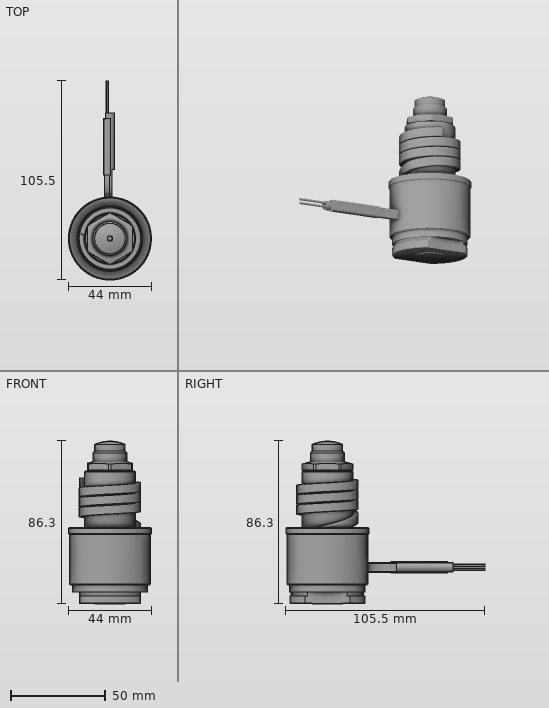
import cadquery as cq
import math

FOOT_RADIUS = 8.0
FOOT_HEIGHT = 0.3
BASE_RADIUS = 20.0
BASE_TOP_Z = 4.3
BASE_CHAMFER = 0.3
NECK_RADIUS = 19.2
COLLAR_BOTTOM_Z = 6.3
WRENCH_FLATS_WIDTH = 32.2
BODY_RADIUS = 21.5
BODY_BOTTOM_Z = 10.1
BODY_CHAMFER = 0.6
FLANGE_RADIUS = 22.0
FLANGE_BOTTOM_Z = 36.9
FLANGE_TOP_Z = 40.5
FLANGE_CHAMFER = 0.5

BORE_RADIUS = 17.0
BORE_CHAMFER = 0.4
BORE_FLOOR_Z = 30.0

SPINDLE_RADIUS = 13.5
SPINDLE_TOP_Z = 70.4
SPINDLE_CHAMFER = 0.5

NUT_SIDES = 6
NUT_FLATS_WIDTH = 24.0
NUT_CORNER_RADIUS = 13.5
NUT_BOTTOM_Z = 70.9
NUT_SHOULDER_Z = 74.1
NUT_TOP_Z = 75.2
NUT_SEAT_RADIUS = 11.0

STUD_RADIUS = 9.0
STUD_FILLET = 0.6
STUD_SHOULDER_Z = 80.0
STUD_TOP_Z = 80.6
STUD_TOP_RADIUS = 8.4
CAP_SEAT_Z = 81.0
CAP_RADIUS = 8.1
DOME_BASE_Z = 84.5
TOP_Z = 86.3
BALL_RADIUS = 1.3
BALL_SOCKET_RADIUS = 1.4

COIL_RADIUS = 16.3
COIL_OVERLAP = 0.2
COIL_HEIGHT = 4.8
COIL_FILLET = 0.4
COIL_END_ANGLE = 171.0
COIL_END_BOTTOM_Z = 62.0
COIL_PITCH = 5.3
COIL_SWEEP = 1093.0
TRANSITION_PITCH = 11.0
TRANSITION_SWEEP = 50.0
TAIL_PITCH = 23.0
TAIL_SWEEP = 200.0

CABLE_AXIS_X = -1.45
CABLE_AXIS_Z = 19.4
CABLE_WIDTH = 2.9
CABLE_HEIGHT = 5.2
CABLE_CORNER = 0.5
FLAT_SLEEVE_WIDTH = 3.8
FLAT_SLEEVE_HEIGHT = 6.0
FLAT_SLEEVE_CORNER = 1.0
FLAT_SLEEVE_START_Y = 33.6
SLEEVE_LENGTH = 30.0
ROUND_SLEEVE_DIAMETER = 4.9
ROUND_SLEEVE_START_Y = 36.6
CORD_WIDTH = 2.4
WIRE_DIAMETER = 1.2
WIRE_SPACING = 2.1
WIRE_END_Y = 83.5
CABLE_ROOT_Y = 20.0


def disc(radius, bottom_z, top_z):
    return cq.Workplane("XY").workplane(offset=bottom_z).circle(radius).extrude(top_z - bottom_z)


def make_base():
    base = disc(BASE_RADIUS, FOOT_HEIGHT, BASE_TOP_Z).faces("<Z").chamfer(BASE_CHAMFER)
    base = base.union(disc(NECK_RADIUS, BASE_TOP_Z, COLLAR_BOTTOM_Z))
    flats = cq.Workplane("XY").box(WRENCH_FLATS_WIDTH, 2 * BASE_RADIUS, 2 * COLLAR_BOTTOM_Z)
    base = base.intersect(flats)
    return base.union(disc(FOOT_RADIUS, 0, BASE_TOP_Z))


def make_housing():
    collar = disc(BASE_RADIUS, COLLAR_BOTTOM_Z, BODY_BOTTOM_Z)
    body = disc(BODY_RADIUS, BODY_BOTTOM_Z, FLANGE_BOTTOM_Z).faces("<Z").chamfer(BODY_CHAMFER)
    flange = disc(FLANGE_RADIUS, FLANGE_BOTTOM_Z, FLANGE_TOP_Z).edges().chamfer(FLANGE_CHAMFER)
    housing = collar.union(body).union(flange)
    housing = housing.cut(disc(BORE_RADIUS, BORE_FLOOR_Z, FLANGE_TOP_Z))
    bore_rim = housing.faces(">Z").edges(cq.selectors.RadiusNthSelector(0))
    return bore_rim.chamfer(BORE_CHAMFER)


def make_spindle():
    spindle = disc(SPINDLE_RADIUS, BORE_FLOOR_Z, SPINDLE_TOP_Z).faces(">Z").chamfer(SPINDLE_CHAMFER)
    return spindle.union(disc(NUT_SEAT_RADIUS, SPINDLE_TOP_Z, NUT_BOTTOM_Z))


def make_nut():
    half_side_angle = 180 / NUT_SIDES
    corner_diameter = NUT_FLATS_WIDTH / math.cos(math.radians(half_side_angle))
    hexagon = (
        cq.Workplane("XY")
        .workplane(offset=NUT_BOTTOM_Z)
        .transformed(rotate=(0, 0, half_side_angle))
        .polygon(NUT_SIDES, corner_diameter)
        .extrude(NUT_TOP_Z - NUT_BOTTOM_Z)
    )
    envelope = (
        cq.Workplane("XZ")
        .moveTo(0, NUT_BOTTOM_Z)
        .lineTo(NUT_CORNER_RADIUS, NUT_BOTTOM_Z)
        .lineTo(NUT_CORNER_RADIUS, NUT_SHOULDER_Z)
        .lineTo(STUD_RADIUS + STUD_FILLET, NUT_TOP_Z)
        .lineTo(0, NUT_TOP_Z)
        .close()
        .revolve()
    )
    return hexagon.intersect(envelope)


def make_stud_and_cap():
    dome_rise = TOP_Z - DOME_BASE_Z
    dome_radius = (CAP_RADIUS**2 + dome_rise**2) / (2 * dome_rise)
    mid_radius = CAP_RADIUS / 2
    mid_z = TOP_Z - dome_radius + math.sqrt(dome_radius**2 - mid_radius**2)
    stud = (
        cq.Workplane("XZ")
        .moveTo(0, NUT_TOP_Z)
        .lineTo(STUD_RADIUS + STUD_FILLET, NUT_TOP_Z)
        .radiusArc((STUD_RADIUS, NUT_TOP_Z + STUD_FILLET), STUD_FILLET)
        .lineTo(STUD_RADIUS, STUD_SHOULDER_Z)
        .lineTo(STUD_TOP_RADIUS, STUD_TOP_Z)
        .lineTo(CAP_RADIUS, CAP_SEAT_Z)
        .lineTo(CAP_RADIUS, DOME_BASE_Z)
        .threePointArc((mid_radius, mid_z), (0, TOP_Z))
        .close()
        .revolve()
    )
    ball_z = TOP_Z - BALL_RADIUS
    ball = cq.Workplane("XY").sphere(BALL_RADIUS).translate((0, 0, ball_z))
    return stud.cut(disc(BALL_SOCKET_RADIUS, ball_z, TOP_Z)).union(ball)


def make_coil_stretch(pitch, sweep, end_angle, bottom_z):
    """Ribbon winding upwards over `sweep` degrees and stopping at `end_angle`."""
    inner_radius = SPINDLE_RADIUS - COIL_OVERLAP
    inner_fillet = COIL_FILLET + COIL_OVERLAP
    rise = pitch * sweep / 360
    path = cq.Workplane(obj=cq.Wire.makeHelix(pitch, rise, COIL_RADIUS))
    ribbon = (
        cq.Workplane("XZ")
        .moveTo(inner_radius + inner_fillet, 0)
        .lineTo(COIL_RADIUS - COIL_FILLET, 0)
        .radiusArc((COIL_RADIUS, COIL_FILLET), -COIL_FILLET)
        .lineTo(COIL_RADIUS, COIL_HEIGHT - COIL_FILLET)
        .radiusArc((COIL_RADIUS - COIL_FILLET, COIL_HEIGHT), -COIL_FILLET)
        .lineTo(inner_radius + inner_fillet, COIL_HEIGHT)
        .radiusArc((inner_radius, COIL_HEIGHT - inner_fillet), -inner_fillet)
        .lineTo(inner_radius, inner_fillet)
        .radiusArc((inner_radius + inner_fillet, 0), -inner_fillet)
        .close()
        .sweep(path, isFrenet=True)
    )
    return ribbon.rotate((0, 0, 0), (0, 0, 1), end_angle - sweep).translate((0, 0, bottom_z - rise))


def make_coil():
    stretches = [
        (COIL_PITCH, COIL_SWEEP),
        (TRANSITION_PITCH, TRANSITION_SWEEP),
        (TAIL_PITCH, TAIL_SWEEP),
    ]
    coil = cq.Workplane("XY")
    angle = COIL_END_ANGLE
    bottom_z = COIL_END_BOTTOM_Z
    for pitch, sweep in stretches:
        coil = coil.add(make_coil_stretch(pitch, sweep, angle, bottom_z))
        angle -= sweep
        bottom_z -= pitch * sweep / 360
    return coil.combine()


def along_y(x, z, start_y):
    return cq.Workplane("XZ", origin=(x, start_y, z))


def make_flat_lead(width, height, corner, start_y, end_y):
    lead = along_y(CABLE_AXIS_X, CABLE_AXIS_Z, start_y).rect(width, height).extrude(start_y - end_y)
    return lead.edges("|Y").fillet(corner)


def make_round_lead(diameter, x, z, start_y, end_y):
    return along_y(x, z, start_y).circle(diameter / 2).extrude(start_y - end_y)


def make_cable():
    flat_end_y = FLAT_SLEEVE_START_Y + SLEEVE_LENGTH
    round_end_y = ROUND_SLEEVE_START_Y + SLEEVE_LENGTH
    cable = make_flat_lead(CABLE_WIDTH, CABLE_HEIGHT, CABLE_CORNER, CABLE_ROOT_Y, flat_end_y)
    flat_sleeve = make_flat_lead(
        FLAT_SLEEVE_WIDTH, FLAT_SLEEVE_HEIGHT, FLAT_SLEEVE_CORNER, FLAT_SLEEVE_START_Y, flat_end_y
    )
    cord = make_round_lead(ROUND_SLEEVE_DIAMETER, 0, CABLE_AXIS_Z, CABLE_ROOT_Y, ROUND_SLEEVE_START_Y)
    cord = cord.intersect(cq.Workplane("XY").box(CORD_WIDTH, 2 * WIRE_END_Y, 2 * FLANGE_TOP_Z))
    round_sleeve = make_round_lead(
        ROUND_SLEEVE_DIAMETER, 0, CABLE_AXIS_Z, ROUND_SLEEVE_START_Y, round_end_y
    )
    cable = cable.union(flat_sleeve).union(cord).union(round_sleeve)
    for side in (-1, 1):
        wire_z = CABLE_AXIS_Z + side * WIRE_SPACING / 2
        wire = make_round_lead(WIRE_DIAMETER, CABLE_AXIS_X, wire_z, ROUND_SLEEVE_START_Y, WIRE_END_Y)
        cable = cable.union(wire)
    return cable


result = (
    make_base()
    .union(make_housing())
    .union(make_spindle())
    .union(make_nut())
    .union(make_stud_and_cap())
    .union(make_coil())
    .union(make_cable())
)